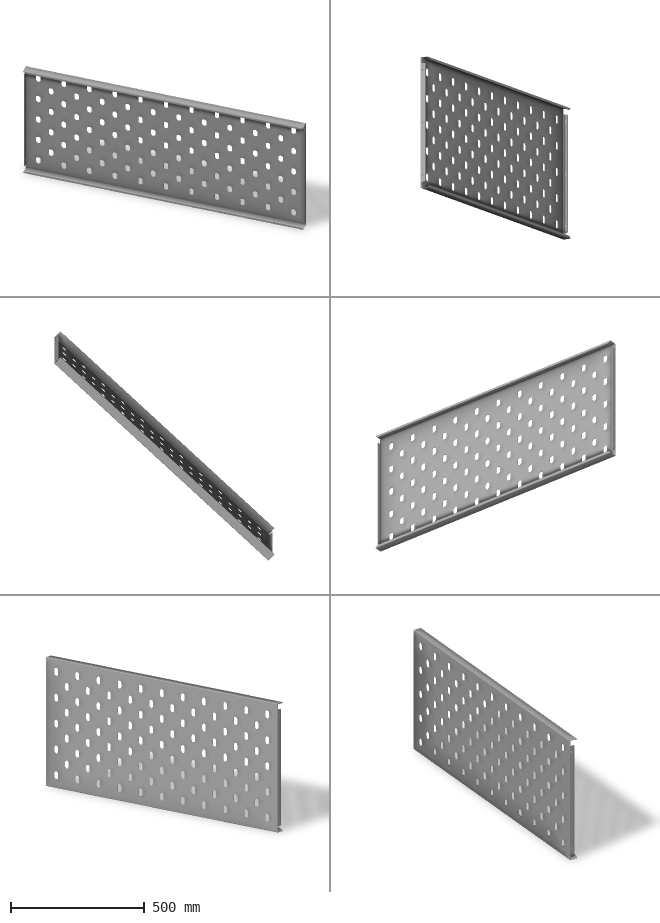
import cadquery as cq

length = 1098.0
depth = 33.0
height = 498.0

sheet = 1.5

bend_inner = 1.5
bend_outer = bend_inner + sheet

lip = 10.0
lip_end_taper = 1.0

joggle = sheet
joggle_distance = 5.0
side_depth = 21.0
side_height = 452.0
side_corner = 5.0
root_depth = 3.8
root_height = height - 2 * bend_outer

slot_pitch = 100.0
slot_length = 31.0
slot_width = 18.0
main_columns = 11
main_rows = 5

side_hole_spacing = 200.0
side_hole_inset = 10.0
side_slot_length = 7.0
side_hole_width = 3.0

left = -length / 2
right = length / 2
panel_right = right - joggle
panel_length = panel_right - left
back = depth / 2
front = -depth / 2
top = height / 2


def rounded_bar(bar_depth, bar_height, radius):
    """Bar along the panel with its four long edges rounded."""
    bar = cq.Workplane("YZ", origin=(left, 0, 0)).rect(bar_depth, bar_height).extrude(panel_length)
    return bar.edges("|X").fillet(radius)


def make_channel():
    """Panel with top and bottom flanges and lips that turn inwards at the front."""
    outside = rounded_bar(depth, height, bend_outer)
    inside = rounded_bar(depth - 2 * sheet, height - 2 * sheet, bend_inner)
    mouth = cq.Workplane("XY").box(length, depth, height - 2 * lip).translate((0, front, 0))
    return outside.cut(inside).cut(mouth)


def lip_taper(x_end, inward, upward):
    """Wedge that tapers one lip end, from the bend to the lip's free edge."""
    return (
        cq.Workplane("XZ", origin=(0, front + sheet, 0))
        .moveTo(x_end, upward * (top - bend_outer))
        .lineTo(x_end + inward * lip_end_taper, upward * (top - lip))
        .lineTo(x_end, upward * (top - lip))
        .close()
        .extrude(sheet)
    )


def side_flange(section):
    """Side flange of the given XY section, on a shallow root that runs the height of the panel."""
    free_part = (
        cq.Workplane("XY")
        .box(length, side_depth, side_height)
        .translate((0, back - side_depth / 2, 0))
        .edges("|X and <Y")
        .fillet(side_corner)
    )
    root = (
        cq.Workplane("XY")
        .box(length, root_depth, root_height)
        .translate((0, back - root_depth / 2, 0))
    )
    strip = cq.Workplane("XY", origin=(0, 0, -top)).polyline(section).close().extrude(height)
    return strip.intersect(free_part.union(root))


def make_left_flange():
    return side_flange([(left, back), (left, front), (left + sheet, front), (left + sheet, back)])


def make_right_flange():
    """Flange that leaves the panel edge and steps out to the full length."""
    step_outer = back - joggle_distance
    step_inner = step_outer - sheet
    return side_flange(
        [
            (panel_right, back),
            (panel_right, step_outer),
            (right, step_outer),
            (right, front),
            (right - sheet, front),
            (right - sheet, step_inner),
            (panel_right - sheet, step_inner),
            (panel_right - sheet, back),
        ]
    )


def panel_slots(columns, rows):
    """Grid of upright slots centred on the part."""
    return (
        cq.Workplane("XZ", origin=(0, back, 0))
        .rarray(slot_pitch, slot_pitch, columns, rows)
        .slot2D(slot_length, slot_width, 90)
        .extrude(sheet)
    )


def side_holes():
    """Two upright slots and a central round hole, running through both side flanges."""
    plane = cq.Workplane("YZ", origin=(left, back - side_hole_inset, 0))
    slots = (
        plane.pushPoints([(0, side_hole_spacing), (0, -side_hole_spacing)])
        .slot2D(side_slot_length, side_hole_width, 90)
        .extrude(length)
    )
    return slots.union(plane.circle(side_hole_width / 2).extrude(length))


result = make_channel()
for vertical in (1, -1):
    result = result.cut(lip_taper(left, 11, vertical))
    result = result.cut(lip_taper(panel_right, -11, vertical))

result = result.union(make_left_flange()).union(make_right_flange())

result = result.cut(panel_slots(main_columns, main_rows))
result = result.cut(panel_slots(main_columns - 1, main_rows - 1))

result = result.cut(side_holes())